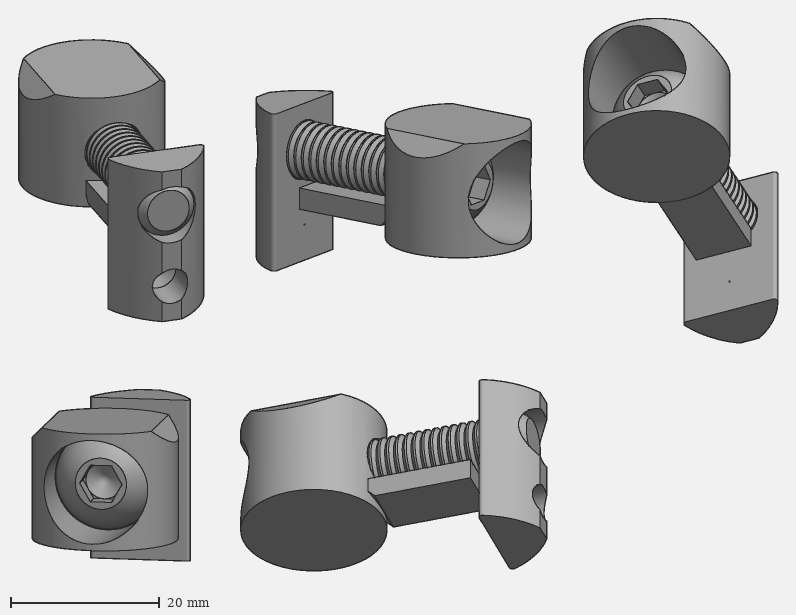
import cadquery as cq
import math


overall_length = 42.5

housing_diameter = 19.7
housing_height = 16.0
housing_flat_width = 14.95
counterbore_diameter = 14.2
clearance_diameter = 8.2
seat_x = 1.2
tongue_width = 8.0
tongue_height = 2.98
tongue_end_x = 23.6
tongue_slope_x = 10.0

drill_point_angle = 118

head_diameter = 14.0
head_flat_diameter = 7.0
head_height = 4.4
hex_across_flats = 5.0
hex_depth = 2.55
thread_diameter = 8.0
thread_root_diameter = 6.8
pitches_in_screw_length = 24
thread_crest_width = 0.3
first_crest_x = 1.83
screw_length = 30.0
tip_chamfer_length = 1.0
tip_diameter = 5.95

nut_height = 22.0
nut_width = 14.1
nut_thickness = 7.0
nut_tip_width = 2.8
nut_side_radius = 13.4
nut_corner_radius = 0.5
nut_top_z = 6.5
nut_hole_diameter = 8.2
locating_hole_diameter = 5.0
locating_hole_rise = 5.0
locating_hole_breakthrough = 0.05

housing_radius = housing_diameter / 2
nut_tip_x = overall_length - housing_radius
nut_back_x = nut_tip_x - nut_thickness
nut_bottom_z = nut_top_z - nut_height
screw_tip_x = seat_x + screw_length
head_flat_x = seat_x - head_height
thread_pitch = screw_length / pitches_in_screw_length


def rod(diameter, start_x, end_x, z=0):
    """Cylinder parallel to the X axis."""
    return cq.Workplane("YZ", origin=(start_x, 0, z)).circle(diameter / 2).extrude(end_x - start_x)


def drill_point_length(diameter):
    """Length of the cone at the end of a blind hole."""
    return diameter / 2 / math.tan(math.radians(drill_point_angle / 2))


def drill_point(diameter, base_x, tip_x, z=0):
    """Cone along the X axis, from its full diameter at base_x to a point at tip_x."""
    outline = [(base_x, 0), (base_x, diameter / 2), (tip_x, 0)]
    cone = cq.Workplane("XY").polyline(outline).close().revolve(360, (0, 0), (1, 0))
    return cone.translate((0, 0, z))


def make_tongue():
    top_z = -clearance_diameter / 2
    bottom_z = top_z - tongue_height
    outline = [
        (tongue_slope_x - tongue_height, top_z),
        (tongue_end_x, top_z),
        (tongue_end_x, bottom_z),
        (tongue_slope_x, bottom_z),
    ]
    return cq.Workplane("XZ").polyline(outline).close().extrude(tongue_width / 2, both=True)


def make_housing():
    half_height = housing_height / 2
    slope_size = (housing_diameter - housing_flat_width) / 2
    profile = [
        (-housing_radius, -half_height),
        (housing_radius, -half_height),
        (housing_radius, half_height - slope_size),
        (housing_flat_width / 2, half_height),
        (-housing_flat_width / 2, half_height),
        (-housing_radius, half_height - slope_size),
    ]
    envelope = cq.Workplane("YZ").polyline(profile).close().extrude(housing_radius, both=True)
    cylinder = cq.Workplane("XY").circle(housing_radius).extrude(half_height, both=True)
    body = cylinder.intersect(envelope).union(make_tongue())
    body = body.cut(rod(counterbore_diameter, -housing_radius, seat_x))
    return body.cut(rod(clearance_diameter, seat_x, housing_radius))


def make_screw_blank():
    """Button head and ringed shank, turned about the X axis."""
    flat_radius = head_flat_diameter / 2
    head_radius = head_diameter / 2
    crest_radius = thread_diameter / 2
    root_radius = thread_root_diameter / 2
    centre_offset = (head_radius**2 + head_height**2 - flat_radius**2) / (2 * head_height)
    dome_radius = math.hypot(flat_radius, centre_offset)

    blank = (
        cq.Workplane("XY")
        .moveTo(head_flat_x, 0)
        .lineTo(head_flat_x, flat_radius)
        .radiusArc((seat_x, head_radius), dome_radius)
        .lineTo(seat_x, crest_radius)
    )
    groove_count = int((screw_tip_x - tip_chamfer_length - first_crest_x) / thread_pitch)
    half_crest = thread_crest_width / 2
    for index in range(groove_count):
        crest_x = first_crest_x + index * thread_pitch
        blank = (
            blank.lineTo(crest_x + half_crest, crest_radius)
            .lineTo(crest_x + thread_pitch / 2, root_radius)
            .lineTo(crest_x + thread_pitch - half_crest, crest_radius)
        )
    blank = (
        blank.lineTo(screw_tip_x - tip_chamfer_length, crest_radius)
        .lineTo(screw_tip_x, tip_diameter / 2)
        .lineTo(screw_tip_x, 0)
        .close()
    )
    return blank.revolve(360, (0, 0), (1, 0))


def make_screw():
    hex_diameter = hex_across_flats / math.cos(math.pi / 6)
    hex_end_x = head_flat_x + hex_depth
    socket = cq.Workplane("YZ", origin=(head_flat_x, 0, 0)).polygon(6, hex_diameter).extrude(hex_depth)
    point = drill_point(hex_across_flats, hex_end_x, hex_end_x + drill_point_length(hex_across_flats))
    return make_screw_blank().cut(socket).cut(point)


def make_nut():
    half_width = nut_width / 2
    half_tip = nut_tip_width / 2
    body = (
        cq.Workplane("XY", origin=(0, 0, nut_bottom_z))
        .moveTo(nut_back_x, -half_width)
        .radiusArc((nut_tip_x, -half_tip), -nut_side_radius)
        .lineTo(nut_tip_x, half_tip)
        .radiusArc((nut_back_x, half_width), -nut_side_radius)
        .close()
        .extrude(nut_height)
    )
    body = body.edges("|Z and <X").fillet(nut_corner_radius)
    body = body.cut(rod(nut_hole_diameter, nut_back_x, nut_tip_x))

    hole_z = nut_bottom_z + locating_hole_rise
    point_tip_x = nut_back_x - locating_hole_breakthrough
    point_base_x = point_tip_x + drill_point_length(locating_hole_diameter)
    body = body.cut(rod(locating_hole_diameter, point_base_x, nut_tip_x, hole_z))
    return body.cut(drill_point(locating_hole_diameter, point_base_x, point_tip_x, hole_z))


housing = make_housing()
screw = make_screw()
nut = make_nut()

result = cq.Compound.makeCompound([housing.val(), screw.val(), nut.val()])